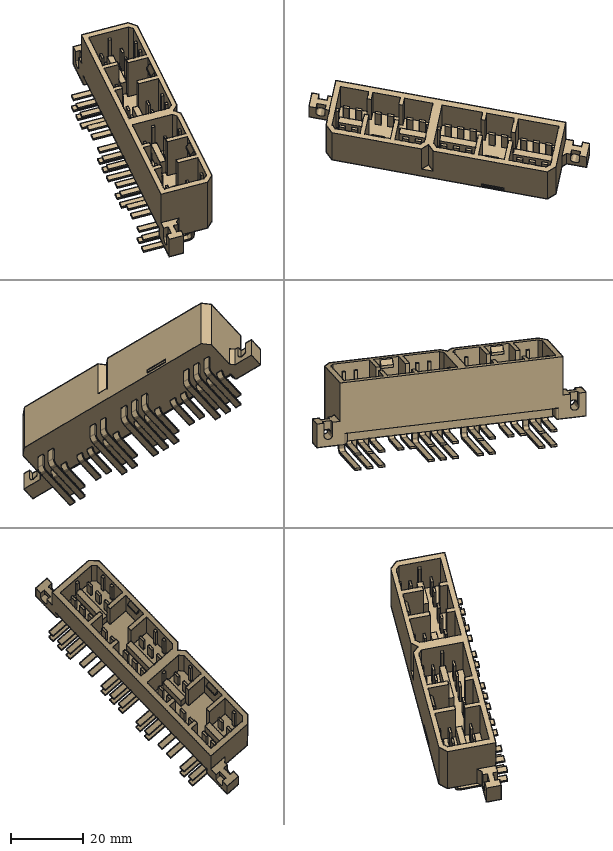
import cadquery as cq

OVERALL_LENGTH = 78.6
OVERALL_HEIGHT = 24.9
HOUSING_LENGTH = 65.1
HOUSING_DEPTH = 15.8
HOUSING_HEIGHT = 18.5
HOUSING_CHAMFER = 2.05

WALL = 1.65
CAVITY_FRONT = 1.6
CAVITY_BACK = 14.4
CAVITY_CHAMFER = 1.0
CENTER_WALL_X = 3.45
CENTER_WALL = 2.6
FLOOR_Z = 4.9

NOTCH_HALF_WIDTH = 1.65
NOTCH_DEPTH = 1.65

BAY_WIDTH = 7.3
DIVIDER = 1.25
DIVIDER_FRONT = 8.5
FRONT_RIB = 1.2
FRONT_RIB_SPACING = 8.95
SHORT_RIB_END = 3.8
LONG_RIB_END = 5.9
LEDGE_FRONT = 6.75
LEDGE_TOP = 9.6

KEY_WIDTH = 0.9
KEY_DEPTH = 0.7
KEY_TOP = 16.0

LATCH_WIDTH = 3.6
LATCH_DEPTH = 1.0
LATCH_TOP = 18.1
LATCH_SLOPE_HEIGHT = 1.4
LATCH_NOSE_HEIGHT = 0.8

RECESS_LENGTH = 60.4
RECESS_HEIGHT = 3.3
RECESS_DEPTH = 2.35
RECESS_LIP_RADIUS = 1.0
RECESS_END_BEVEL = 0.6

EAR_DEPTH = 4.25
EAR_HEIGHT = 7.1
EAR_GUSSET = 1.1
SCREW_X = 36.0
SCREW_Z = 3.4
SCREW_RADIUS = 1.25
SLOT_DEPTH = 1.3

PAD_X = -15.1
PAD_LENGTH = 6.4
PAD_HEIGHT = 1.2
PAD_Z = 1.0
PAD_THICKNESS = 0.15

PIN_PITCH = 3.5
PIN_WIDTH = 1.7
PIN_THICKNESS = 0.6
PIN_TOP = 12.2
PIN_TIP_Y = -4.0
PIN_INNER_RADIUS = 1.0
FRONT_ROW_Y = 4.6
BACK_ROW_Y = 10.6
FRONT_ROW_BOTTOM = -2.0
BACK_ROW_BOTTOM = HOUSING_HEIGHT - OVERALL_HEIGHT

LEFT_CAVITY = {"first_x": -28.7, "outer_count": 3, "bay_x": -14.4, "last_x": -0.15}
RIGHT_CAVITY = {"first_x": 7.1, "outer_count": 2, "bay_x": 17.85, "last_x": 28.6}
BAY_PIN_COUNT = 2

HALF_HOUSING = HOUSING_LENGTH / 2
LEFT_CAVITY["ends"] = (WALL - HALF_HOUSING, CENTER_WALL_X - CENTER_WALL / 2)
RIGHT_CAVITY["ends"] = (CENTER_WALL_X + CENTER_WALL / 2, HALF_HOUSING - WALL)
LEFT_CAVITY["rib_ends"] = (LONG_RIB_END, SHORT_RIB_END)
RIGHT_CAVITY["rib_ends"] = (SHORT_RIB_END, SHORT_RIB_END)


def block(x_range, y_range, z_range):
    """Axis-aligned box between the given limits."""
    lows, highs = zip(x_range, y_range, z_range)
    sizes = [high - low for low, high in zip(lows, highs)]
    return cq.Workplane("XY").box(*sizes, centered=False).translate(lows)


def centered_range(middle, width):
    """Limits of a stretch of the given width about its middle."""
    return middle - width / 2, middle + width / 2


def back_chamfered_block(x_range, y_range, z_range, chamfer):
    """Box with its two upright back edges chamfered."""
    return block(x_range, y_range, z_range).edges("|Z and >Y").chamfer(chamfer)


def housing():
    """Solid housing with its notch, front recess and marking pad."""
    body = back_chamfered_block(
        (-HALF_HOUSING, HALF_HOUSING), (0, HOUSING_DEPTH), (0, HOUSING_HEIGHT), HOUSING_CHAMFER
    )
    notch = (
        cq.Workplane("XY", origin=(0, 0, FLOOR_Z))
        .moveTo(CENTER_WALL_X - NOTCH_HALF_WIDTH, HOUSING_DEPTH)
        .lineTo(CENTER_WALL_X, HOUSING_DEPTH - NOTCH_DEPTH)
        .lineTo(CENTER_WALL_X + NOTCH_HALF_WIDTH, HOUSING_DEPTH)
        .close()
        .extrude(HOUSING_HEIGHT - FLOOR_Z)
    )
    half_recess = RECESS_LENGTH / 2
    half_mouth = half_recess + RECESS_LIP_RADIUS
    recess = (
        cq.Workplane("XY")
        .moveTo(-half_mouth, 0)
        .lineTo(half_mouth, 0)
        .radiusArc((half_recess, RECESS_LIP_RADIUS), RECESS_LIP_RADIUS)
        .lineTo(half_recess, RECESS_DEPTH)
        .lineTo(-half_recess, RECESS_DEPTH)
        .lineTo(-half_recess, RECESS_LIP_RADIUS)
        .radiusArc((-half_mouth, 0), RECESS_LIP_RADIUS)
        .close()
        .extrude(RECESS_HEIGHT)
    )
    bevel_profile = [
        (-half_recess - RECESS_END_BEVEL, 0),
        (half_recess + RECESS_END_BEVEL, 0),
        (half_recess, RECESS_END_BEVEL),
        (-half_recess, RECESS_END_BEVEL),
    ]
    bevel = cq.Workplane("XZ").polyline(bevel_profile).close().extrude(-RECESS_DEPTH)
    pad = block(
        centered_range(PAD_X, PAD_LENGTH),
        (HOUSING_DEPTH, HOUSING_DEPTH + PAD_THICKNESS),
        (PAD_Z, PAD_Z + PAD_HEIGHT),
    )
    return body.cut(notch).cut(recess.union(bevel)).union(pad)


def ear():
    """Ear on the +X end, with a screw hole opened to the top by a slot in each face."""
    half_length = OVERALL_LENGTH / 2
    outline = [
        (HALF_HOUSING, 0),
        (half_length, 0),
        (half_length, EAR_DEPTH),
        (HALF_HOUSING + EAR_GUSSET, EAR_DEPTH),
        (HALF_HOUSING, EAR_DEPTH + EAR_GUSSET),
    ]
    body = cq.Workplane("XY").polyline(outline).close().extrude(EAR_HEIGHT)
    hole = cq.Workplane("XZ").center(SCREW_X, SCREW_Z).circle(SCREW_RADIUS).extrude(-EAR_DEPTH)
    body = body.cut(hole)
    for front in (0, EAR_DEPTH - SLOT_DEPTH):
        slot = block(
            centered_range(SCREW_X, 2 * SCREW_RADIUS),
            (front, front + SLOT_DEPTH),
            (SCREW_Z, EAR_HEIGHT),
        )
        body = body.cut(slot)
    return body


def pin(x, row_y, bottom):
    """Flat pin rising into the cavity and bent forward below the housing."""
    inner = PIN_INNER_RADIUS
    outer = inner + PIN_THICKNESS
    front, back = centered_range(row_y, PIN_THICKNESS)
    lead_top = bottom + PIN_THICKNESS
    profile = (
        cq.Workplane("YZ")
        .moveTo(back, PIN_TOP)
        .lineTo(back, bottom + outer)
        .radiusArc((back - outer, bottom), outer)
        .lineTo(PIN_TIP_Y, bottom)
        .lineTo(PIN_TIP_Y, lead_top)
        .lineTo(front - inner, lead_top)
        .radiusArc((front, lead_top + inner), -inner)
        .lineTo(front, PIN_TOP)
        .close()
    )
    return profile.extrude(PIN_WIDTH / 2, both=True).translate((x, 0, 0))


def latch(x):
    """Wedge with a sloping lead-in face and a blunt nose."""
    nose_y = CAVITY_BACK - LATCH_DEPTH
    nose_top = LATCH_TOP - LATCH_SLOPE_HEIGHT
    nose_bottom = nose_top - LATCH_NOSE_HEIGHT
    profile = [
        (CAVITY_BACK, LATCH_TOP),
        (nose_y, nose_top),
        (nose_y, nose_bottom),
        (CAVITY_BACK, nose_bottom),
    ]
    wedge = cq.Workplane("YZ").polyline(profile).close().extrude(LATCH_WIDTH / 2, both=True)
    return wedge.translate((x, 0, 0))


def cavity_features(cavity):
    """Everything that stands inside one cavity, and the pins below it."""
    bay_x = cavity["bay_x"]
    full_height = (FLOOR_Z, HOUSING_HEIGHT)
    key_height = (FLOOR_Z, KEY_TOP)
    parts = [latch(bay_x)]

    for side, wall_x, rib_end in zip((-1, 1), cavity["ends"], cavity["rib_ends"]):
        divider_x = bay_x + side * (BAY_WIDTH + DIVIDER) / 2
        divider_y = (DIVIDER_FRONT, CAVITY_BACK)
        parts.append(block(centered_range(divider_x, DIVIDER), divider_y, full_height))

        rib_x = bay_x + side * FRONT_RIB_SPACING / 2
        parts.append(block(centered_range(rib_x, FRONT_RIB), (CAVITY_FRONT, rib_end), full_height))

        key_x = wall_x - side * KEY_DEPTH
        key_y = (LEDGE_FRONT + DIVIDER_FRONT) / 2
        parts.append(block(sorted((wall_x, key_x)), centered_range(key_y, KEY_WIDTH), key_height))

        ledge_end = divider_x + side * DIVIDER / 2
        ledge_y = (LEDGE_FRONT, DIVIDER_FRONT)
        parts.append(block(sorted((key_x, ledge_end)), ledge_y, (FLOOR_Z, LEDGE_TOP)))

    outer_span = (cavity["outer_count"] - 1) * PIN_PITCH
    for group_x in (cavity["first_x"], cavity["last_x"] - outer_span):
        for index in range(cavity["outer_count"]):
            pin_x = group_x + index * PIN_PITCH
            parts.append(pin(pin_x, FRONT_ROW_Y, FRONT_ROW_BOTTOM))
            parts.append(pin(pin_x, BACK_ROW_Y, BACK_ROW_BOTTOM))
        for index in range(cavity["outer_count"] - 1):
            key_x = group_x + (index + 0.5) * PIN_PITCH
            key_y = (CAVITY_BACK - KEY_DEPTH, CAVITY_BACK)
            parts.append(block(centered_range(key_x, KEY_WIDTH), key_y, key_height))

    bay_span = (BAY_PIN_COUNT - 1) * PIN_PITCH
    for index in range(BAY_PIN_COUNT):
        pin_x = bay_x - bay_span / 2 + index * PIN_PITCH
        parts.append(pin(pin_x, FRONT_ROW_Y, FRONT_ROW_BOTTOM))
    return parts


right_ear = ear()
result = housing().union(right_ear).union(right_ear.mirror("YZ"))
for cavity in (LEFT_CAVITY, RIGHT_CAVITY):
    result = result.cut(
        back_chamfered_block(
            cavity["ends"], (CAVITY_FRONT, CAVITY_BACK), (FLOOR_Z, HOUSING_HEIGHT), CAVITY_CHAMFER
        )
    )
    for feature in cavity_features(cavity):
        result = result.union(feature)